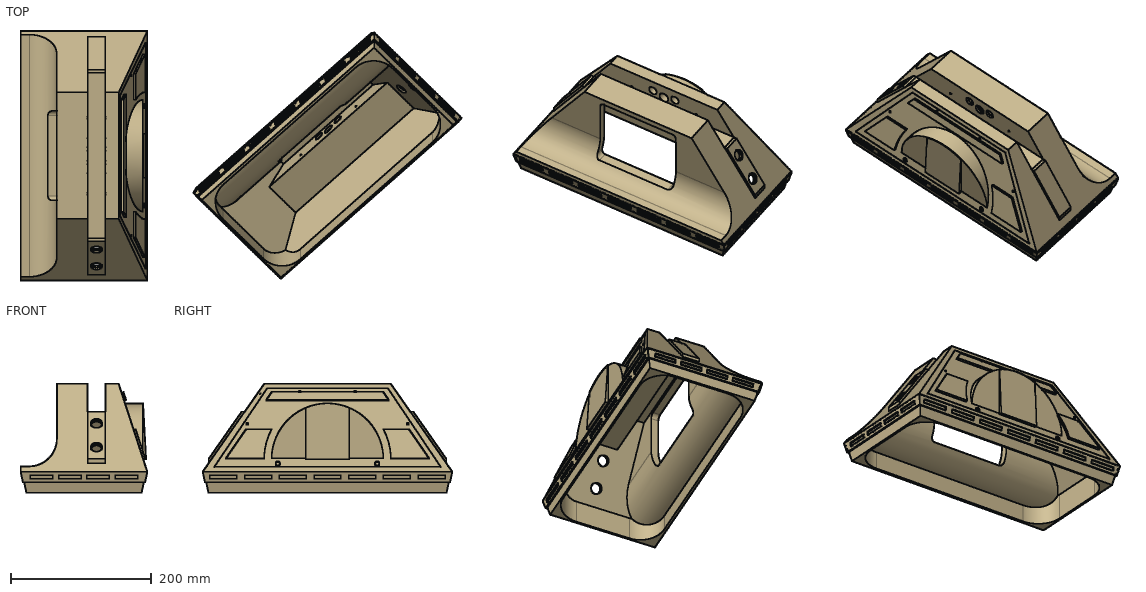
import cadquery as cq
import math

width = 180.5
length = 355.5
height = 155.3
half_length = length / 2

band_bottom_z = 15.0
band_top_z = 30.0
band_thickness = 1.8
base_inset = 6.5
base_draft = base_inset / band_top_z
band_window_height = 5.0
band_window_z = 22.5
side_window_length = 38.5
side_window_pitch = 49.5
side_window_count = 7
end_window_length = 32.0
end_window_pitch = 40.5
end_window_count = 4

top_half_length = 90.0
ledge_z = 37.5
ledge_width = 12.5
sweep_radius = 39.0
back_x = ledge_width + sweep_radius
top_front_x = 139.5

slot_center_x = 108.0
slot_width = 25.2
slot_floor_z = 115.5
slot_lining = 3.5
slot_min_x = slot_center_x - slot_width / 2
slot_max_x = slot_center_x + slot_width / 2
lining_bottom_z = slot_floor_z - slot_lining

back_wall = 11.5
end_wall = 3.5
roof = 3.5
front_wall = 7.0
cavity_min_x = 12.0
cavity_max_x = 170.2
cavity_half_length = 167.0
cavity_corner_radius = 37.3

window_half_width = 63.5
window_bottom_z = 48.0
window_top_z = 146.5
window_corner_radius = 6.5

sensor_holes = [
    (0.0, 134.0, 14.5),
    (-18.5, 138.2, 12.8),
    (18.5, 138.2, 12.8),
    (-54.0, 128.0, 2.52),
    (54.0, 128.0, 2.52),
]

strap_thickness = 3.5
strap_end_y = 169.0
strap_hole_diameter = 16.0
strap_hole_heights = [96.5, 63.0]

panel_thickness = 3.5
panel_recess = 0.5
panel_top_z = 148.5
panel_bottom_z = 37.0
panel_top_half = 86.0
panel_bottom_half = 161.0
small_hole_diameter = 2.52
large_hole_diameter = 6.5
small_panel_holes = [(39.5, 144.3), (114.0, 98.5)]
large_panel_hole = (70.7, 42.0)

raised_thickness = 3.2
bar_top_z = 142.5
bar_bottom_z = 131.0
bar_top_half = 79.5
bar_bottom_half = 87.5
pad_top_z = 89.5
pad_bottom_z = 48.5
pad_top_y = 116.2
pad_bottom_y = 144.5
pad_inner_radius = 90.3

lens_radius = 79.5
lens_center_z = 47.5
lens_face_x = 173.8
wedge_half_width = 31.3
wedge_top_depth = 0.7
wedge_bottom_depth = 5.0

front_run = width - top_front_x
slope_drop = height - band_top_z
front_length = math.hypot(front_run, slope_drop)
front_cos = slope_drop / front_length
front_sin = front_run / front_length
end_run = half_length - top_half_length
end_length = math.hypot(end_run, slope_drop)
end_cos = slope_drop / end_length
end_sin = end_run / end_length

front_plane = cq.Plane(origin=(top_front_x, 0, height), xDir=(0, 1, 0), normal=(front_cos, 0, front_sin))
panel_face = cq.Workplane(front_plane).workplane(offset=-panel_recess)


def on_front(y, z):
    """Point of the front plane at the given Y and Z."""
    return (y, (z - height) / front_cos)


def front_x(z):
    """X of the front slope at height Z."""
    return top_front_x + (height - z) * front_run / slope_drop


def end_y(z):
    """Distance of the end slopes from the middle at height Z."""
    return top_half_length + (height - z) * end_run / slope_drop


def prism_x(points, x_start, x_end):
    """Outline in (y, z) extruded along X."""
    return cq.Workplane("YZ").workplane(offset=x_start).polyline(points).close().extrude(x_end - x_start)


def end_trapezoid(bottom_z, top_z, inset):
    """Symmetric (y, z) outline that follows the end slopes, moved in by a horizontal inset."""
    bottom_y = end_y(bottom_z) - inset
    top_y = end_y(top_z) - inset
    return [(-bottom_y, bottom_z), (bottom_y, bottom_z), (top_y, top_z), (-top_y, top_z)]


def tapered_block(bottom_z, top_z, inset):
    """Skirt block that narrows downward, inset from the full outline at the band top."""
    def rectangle(z):
        total = 2 * (inset + (band_top_z - z) * base_draft)
        return width - total, length - total

    lower = cq.Workplane("XY", origin=(width / 2, 0, bottom_z)).rect(*rectangle(bottom_z))
    return lower.workplane(offset=top_z - bottom_z).rect(*rectangle(top_z)).loft(ruled=True)


def swept_profile(bottom_z, top_z, start_x, radius, front_offset):
    """XZ profile: concave sweep up the back, flat top, sloping front; extruded over the full length."""
    center_z = ledge_z + sweep_radius
    arc_cos = radius * math.cos(math.pi / 4)
    return (
        cq.Workplane("XZ")
        .moveTo(start_x, bottom_z)
        .lineTo(start_x, center_z - radius)
        .lineTo(ledge_width, center_z - radius)
        .threePointArc((ledge_width + arc_cos, center_z - arc_cos), (ledge_width + radius, center_z))
        .lineTo(ledge_width + radius, top_z)
        .lineTo(front_x(top_z) - front_offset, top_z)
        .lineTo(front_x(bottom_z) - front_offset, bottom_z)
        .close()
        .extrude(half_length, both=True)
    )


def make_cavity():
    """Hollow, open at the bottom, that leaves the lined slot and a solid block beside it."""
    shaft = (
        cq.Workplane("XY")
        .center((cavity_min_x + cavity_max_x) / 2, 0)
        .rect(cavity_max_x - cavity_min_x, 2 * cavity_half_length)
        .extrude(height)
        .edges("|Z")
        .fillet(cavity_corner_radius)
    )
    profile = swept_profile(0, height - roof, cavity_min_x, sweep_radius + back_wall, front_wall / front_cos)
    ends = prism_x(end_trapezoid(0, height - roof, end_wall / end_cos), 0, width)
    upper_block = cq.Workplane("XY").box(width, length, height, centered=(False, True, False))
    upper_block = upper_block.translate((slot_min_x - slot_lining, 0, lining_bottom_z))
    return shaft.intersect(profile).intersect(ends).cut(upper_block)


def make_window():
    window_height = window_top_z - window_bottom_z
    return (
        cq.Workplane("YZ")
        .center(0, window_bottom_z + window_height / 2)
        .rect(2 * window_half_width, window_height)
        .extrude(back_x + back_wall)
        .edges("|X")
        .fillet(window_corner_radius)
    )


def strap_hole_tools():
    """Cylinders square to the -Y end slope, on the strap's centre line."""
    tools = []
    for z in strap_hole_heights:
        center = cq.Vector(slot_center_x, -end_y(z), z)
        inward = cq.Vector(0, end_cos, -end_sin)
        reach = strap_thickness + end_wall
        start = center - inward * reach
        tools.append(cq.Solid.makeCylinder(strap_hole_diameter / 2, 2 * reach, start, inward))
    return cq.Workplane(obj=cq.Compound.makeCompound(tools))


def make_panel_pocket(depth):
    """Trapezoid on the front slope, sunk to the given depth below it."""
    outline = [
        on_front(-panel_bottom_half, panel_bottom_z),
        on_front(panel_bottom_half, panel_bottom_z),
        on_front(panel_top_half, panel_top_z),
        on_front(-panel_top_half, panel_top_z),
    ]
    return cq.Workplane(front_plane).polyline(outline).close().extrude(-depth)


def make_housing():
    body = swept_profile(band_top_z, height, 0, sweep_radius, 0)
    body = body.intersect(prism_x(end_trapezoid(band_top_z, height, 0), 0, width))
    body = body.union(tapered_block(0, band_top_z, band_thickness))
    slot = cq.Workplane("XY").box(slot_width, length, height, centered=(True, True, False))
    body = body.cut(slot.translate((slot_center_x, 0, slot_floor_z)))
    body = body.cut(make_cavity()).cut(make_window())
    for y, z, diameter in sensor_holes:
        hole = cq.Workplane("YZ", origin=(back_x + back_wall, y, z)).circle(diameter / 2)
        body = body.cut(hole.extrude(width))
    return body.cut(strap_hole_tools()).cut(make_panel_pocket(panel_recess + panel_thickness))


def make_band():
    """Thin ring round the skirt with rows of rectangular windows on all four sides."""
    band = tapered_block(band_bottom_z, band_top_z, 0)
    band = band.cut(tapered_block(band_bottom_z, band_top_z, band_thickness))
    side_windows = (
        cq.Workplane("YZ", origin=(0, 0, band_window_z))
        .rarray(side_window_pitch, 3.5, side_window_count, 1)
        .rect(side_window_length, band_window_height)
        .extrude(width)
    )
    end_windows = (
        cq.Workplane("XZ", origin=(width / 2, 0, band_window_z))
        .rarray(end_window_pitch, 3.5, end_window_count, 1)
        .rect(end_window_length, band_window_height)
        .extrude(half_length, both=True)
    )
    return band.cut(side_windows).cut(end_windows)


def make_strap(side):
    """Flat strap on one end slope, level with the slot floor at its upper end."""
    overhang = strap_thickness / end_cos
    lower_z = height - (strap_end_y - top_half_length) * slope_drop / end_run
    outer_lower_z = lower_z + strap_thickness / end_sin
    outline = [
        (side * end_y(slot_floor_z), slot_floor_z),
        (side * (end_y(slot_floor_z) + overhang), slot_floor_z),
        (side * strap_end_y, outer_lower_z),
        (side * strap_end_y, lower_z),
    ]
    return prism_x(outline, slot_min_x, slot_max_x)


def make_panel():
    """Thin trapezoid plate let into the front slope, with screw holes in mirrored pairs."""
    small_points = [on_front(side * y, z) for y, z in small_panel_holes for side in (-1, 1)]
    large_y, large_z = large_panel_hole
    large_points = [on_front(side * large_y, large_z) for side in (-1, 1)]
    panel = make_panel_pocket(panel_recess + panel_thickness).cut(make_panel_pocket(panel_recess))
    for points, diameter in [(small_points, small_hole_diameter), (large_points, large_hole_diameter)]:
        panel = panel.cut(panel_face.pushPoints(points).circle(diameter / 2).extrude(-panel_thickness))
    return panel


def make_bar():
    outline = [
        on_front(-bar_bottom_half, bar_bottom_z),
        on_front(bar_bottom_half, bar_bottom_z),
        on_front(bar_top_half, bar_top_z),
        on_front(-bar_top_half, bar_top_z),
    ]
    return panel_face.polyline(outline).close().extrude(raised_thickness)


def make_pad(side):
    """Raised pad beside the lens, its inner edge an arc about the lens axis."""
    outline = [
        on_front(0, pad_bottom_z),
        on_front(side * pad_bottom_y, pad_bottom_z),
        on_front(side * pad_top_y, pad_top_z),
        on_front(0, pad_top_z),
    ]
    pad = panel_face.polyline(outline).close().extrude(raised_thickness)
    clearance = cq.Workplane("YZ").center(0, lens_center_z).circle(pad_inner_radius).extrude(2 * width)
    return pad.cut(clearance)


def half_disc(x_start, x_end):
    """Upper half of a cylinder about the lens axis."""
    return (
        cq.Workplane("YZ", origin=(x_start, 0, lens_center_z))
        .moveTo(-lens_radius, 0)
        .threePointArc((0, lens_radius), (lens_radius, 0))
        .close()
        .extrude(x_end - x_start)
    )


def behind_panel_face():
    """Everything on the inner side of the panel face."""
    return panel_face.rect(2 * length, 2 * length).extrude(-width)


def make_lens():
    return half_disc(top_front_x, lens_face_x).cut(behind_panel_face())


def make_wedge():
    """Tapered plate on the lens face, thickest at the bottom."""
    wedge = (
        cq.Workplane("XZ")
        .moveTo(lens_face_x, lens_center_z)
        .lineTo(lens_face_x + wedge_bottom_depth, lens_center_z)
        .lineTo(lens_face_x + wedge_top_depth, lens_center_z + lens_radius)
        .lineTo(lens_face_x, lens_center_z + lens_radius)
        .close()
        .extrude(wedge_half_width, both=True)
    )
    wedge = wedge.intersect(half_disc(lens_face_x, lens_face_x + wedge_bottom_depth))
    return wedge.cut(behind_panel_face())


housing = make_housing()
band = make_band()
straps = [make_strap(-1).cut(strap_hole_tools()), make_strap(1)]
panel = make_panel()
bar = make_bar()
pads = [make_pad(side) for side in (-1, 1)]
lens = make_lens()
wedge = make_wedge()

result = cq.Compound.makeCompound(
    [
        housing.val(),
        band.val(),
        *[strap.val() for strap in straps],
        panel.val(),
        bar.val(),
        *[pad.val() for pad in pads],
        lens.val(),
        wedge.val(),
    ]
)